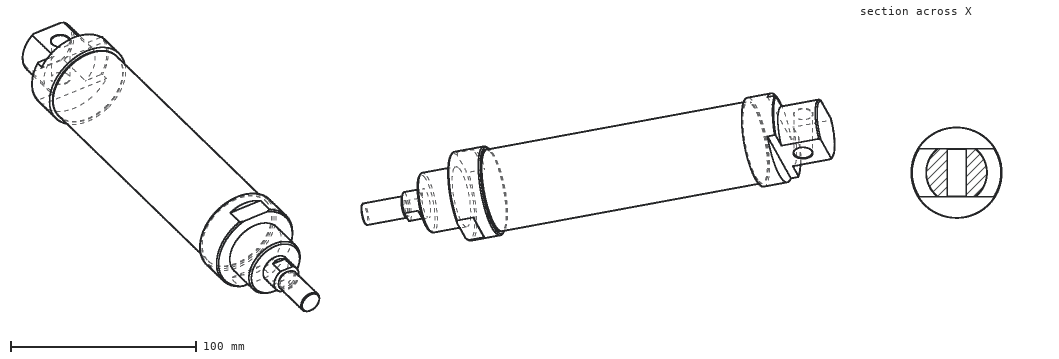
import cadquery as cq

flange_start = 22.0
shoulder_x = 26.5
flange_end = 40.0
head_start = 188.7
head_flat_start = 197.0
head_end = 207.0
nose_end = 227.0
rod_flat_start = 230.3
collar_end = 238.0
thread_start = 239.2
overall_length = 262.0

lip_length = 0.6
tube_start = flange_end + lip_length
tube_end = head_start - lip_length

cover_diameter = 49.0
tube_diameter = 45.0
tang_diameter = 33.0
nose_diameter = 33.0
rod_diameter = 16.0
thread_diameter = 12.0
undercut_diameter = 10.0

tang_thickness = 26.0
head_across_flats = tube_diameter
rod_across_flats = 14.0
flat_run_out = 0.7

pivot_hole_diameter = 10.0
pivot_hole_x = 13.0
pivot_hole_chamfer = 0.3

tang_chamfer = 0.8
flange_chamfer = 0.5
head_chamfer = 0.8
nose_chamfer = 1.0
thread_chamfer = 0.5


def cylinder(diameter, start, end):
    """Round bar on the X axis between two stations."""
    return cq.Workplane("YZ").workplane(offset=start).circle(diameter / 2).extrude(end - start)


def flats_cutter(diameter, thickness, start, end, run_out=0.0):
    """Two blocks, above and below the axis, that leave the given thickness between them.

    The wall at the start leans back by the run-out over the depth of the flat.
    """
    floor = thickness / 2
    rim = diameter / 2
    upper = (
        cq.Workplane("XZ")
        .polyline([(start, floor), (start - run_out, rim), (end, rim), (end, floor)])
        .close()
        .extrude(diameter, both=True)
    )
    return upper.union(upper.mirror("XY"))


def pivot_hole_cutter():
    """Vertical through hole, chamfered where it meets the two tang flats."""
    bore = pivot_hole_diameter / 2
    mouth = bore + pivot_hole_chamfer
    top = tang_thickness / 2
    chamfer_root = top - pivot_hole_chamfer
    return (
        cq.Workplane("XZ", origin=(pivot_hole_x, 0, 0))
        .moveTo(0, -top)
        .lineTo(mouth, -top)
        .lineTo(bore, -chamfer_root)
        .lineTo(bore, chamfer_root)
        .lineTo(mouth, top)
        .lineTo(0, top)
        .close()
        .revolve(360, (0, 0), (0, 1))
    )


def build_rear_cap():
    """Rear cover with a flattened pivot tang."""
    tang = cylinder(tang_diameter, 0, flange_start).faces("<X").chamfer(tang_chamfer)
    flange = cylinder(cover_diameter, flange_start, flange_end).faces("<X").chamfer(flange_chamfer)
    lip = cylinder(tube_diameter, flange_end, tube_start)
    cap = tang.union(flange).union(lip)
    cap = cap.cut(flats_cutter(cover_diameter, tang_thickness, 0, shoulder_x))
    return cap.cut(pivot_hole_cutter())


def build_tube():
    """Plain barrel between the two covers."""
    return cylinder(tube_diameter, tube_start, tube_end)


def build_front_head():
    """Front cover with two wrench flats and a round nose."""
    lip = cylinder(tube_diameter, tube_end, head_start)
    head = cylinder(cover_diameter, head_start, head_end).faces("<X or >X").chamfer(head_chamfer)
    head = head.cut(
        flats_cutter(cover_diameter, head_across_flats, head_flat_start, head_end, flat_run_out)
    )
    nose = cylinder(nose_diameter, head_end, nose_end).faces(">X").chamfer(nose_chamfer)
    return head.union(lip).union(nose)


def build_rod():
    """Piston rod end: collar with wrench flats, undercut and threaded stud."""
    collar = cylinder(rod_diameter, nose_end, collar_end)
    collar = collar.cut(
        flats_cutter(rod_diameter, rod_across_flats, rod_flat_start, collar_end, flat_run_out)
    )
    undercut = cylinder(undercut_diameter, collar_end, thread_start)
    stud = cylinder(thread_diameter, thread_start, overall_length).faces(">X").chamfer(thread_chamfer)
    return collar.union(undercut).union(stud)


rear_cap = build_rear_cap()
tube = build_tube()
front_head = build_front_head()
rod = build_rod()

result = cq.Compound.makeCompound([rear_cap.val(), tube.val(), front_head.val(), rod.val()])